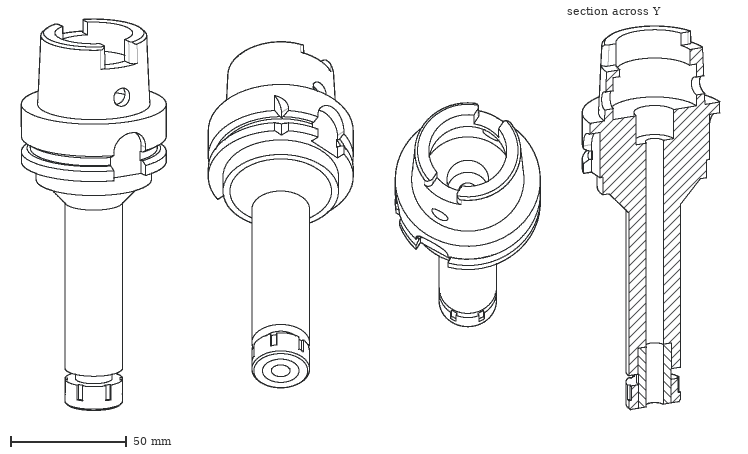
import cadquery as cq
total_height = 167.0
nut_height = 11.0
shank_bottom_z = 15.7
shank_top_z = 90.7
collar_bottom_z = 100.9
flange_bottom_z = 109.0
flange_top_z = 135.0

shank_radius = 12.5
cone_top_radius = 22.0
collar_radius = 25.0
flange_diameter = 63.0
flange_radius = flange_diameter / 2
gripper_groove_radius = 27.5
gripper_groove_bottom_z = 115.0
gripper_groove_top_z = 118.9
flange_chamfer_width = 2.5
flange_chamfer_height = 1.5
taper_base_radius = 24.4
taper_top_diameter = 46.0
taper_top_radius = taper_top_diameter / 2
lead_in_width = 1.2
lead_in_height = 1.2

clamping_bore_radius = 16.9
clamping_lip_depth = 13.0
undercut_radius = 20.0
coolant_bore_radius = 9.0
coolant_bore_depth = 13.4
passage_radius = 4.0

key_gap_width = 12.5
key_gap_shallow = 5.7
key_gap_deep = 9.7
key_corner_fillet = 2.2
cross_hole_radius = 4.0
cross_hole_z = 144.0
slot_width = 16.0
drive_slot_floor = 26.5
index_notch_floor = 20.0
index_notch_wall = 20.0
slot_arch_z = 121.7

collet_diameter = 15.9
collet_radius = collet_diameter / 2
collet_length = 27.5
nut_radius = 12.5
nut_chamfer = 0.8
wrench_slot_count = 6
wrench_slot_width = 2.7
wrench_slot_length = 6.7
wrench_slot_depth = 1.2


def cylinder(radius, bottom_z, top_z):
    """Upright cylinder on the tool axis."""
    return cq.Workplane("XY").workplane(offset=bottom_z).circle(radius).extrude(top_z - bottom_z)


def revolved(profile):
    """Turn a half profile, drawn in X and Z, around the tool axis."""
    return profile.close().revolve(360, (0, 0), (0, 1))


def holder_blank():
    """Shank, cone, collar, grooved flange and tapered head, turned in one profile."""
    flange_rim_radius = flange_radius - flange_chamfer_width
    return revolved(
        cq.Workplane("XZ")
        .moveTo(0, shank_bottom_z)
        .lineTo(shank_radius, shank_bottom_z)
        .lineTo(shank_radius, shank_top_z)
        .lineTo(cone_top_radius, collar_bottom_z)
        .lineTo(collar_radius, collar_bottom_z)
        .lineTo(collar_radius, flange_bottom_z)
        .lineTo(flange_radius, flange_bottom_z)
        .lineTo(flange_radius, gripper_groove_bottom_z - flange_chamfer_height)
        .lineTo(flange_rim_radius, gripper_groove_bottom_z)
        .lineTo(gripper_groove_radius, gripper_groove_bottom_z)
        .lineTo(gripper_groove_radius, gripper_groove_top_z)
        .lineTo(flange_rim_radius, gripper_groove_top_z)
        .lineTo(flange_radius, gripper_groove_top_z + flange_chamfer_height)
        .lineTo(flange_radius, flange_top_z)
        .lineTo(taper_base_radius, flange_top_z)
        .lineTo(taper_top_radius, total_height)
        .lineTo(0, total_height)
    )


def lead_in_ring():
    """Ring of material outside the chamfer at the top of the taper."""
    return revolved(
        cq.Workplane("XZ")
        .moveTo(taper_top_radius - lead_in_width, total_height)
        .lineTo(flange_radius, total_height)
        .lineTo(flange_radius, total_height - lead_in_height)
        .lineTo(taper_top_radius, total_height - lead_in_height)
    )


def clamping_bore():
    """Wide bore of the head, opening into an undercut below the clamping lip."""
    lip_z = total_height - clamping_lip_depth
    return revolved(
        cq.Workplane("XZ")
        .moveTo(0, flange_top_z)
        .lineTo(undercut_radius, flange_top_z)
        .lineTo(undercut_radius, lip_z)
        .lineTo(clamping_bore_radius, lip_z)
        .lineTo(clamping_bore_radius, total_height)
        .lineTo(0, total_height)
    )


def cut_key_gap(holder, side, depth):
    """Cut a gap through the rim on one side of X (side is +1 or -1) and round its outer corners."""
    floor_z = total_height - depth
    cutter = (
        cq.Workplane("XY")
        .workplane(offset=floor_z)
        .center(side * flange_radius / 2, 0)
        .rect(flange_radius, key_gap_width)
        .extrude(depth)
    )
    holder = holder.cut(cutter)
    near_x = side * (clamping_bore_radius + taper_top_radius) / 2
    far_x = side * flange_radius
    corner_box = cq.selectors.BoxSelector(
        (near_x, -key_gap_width, floor_z + depth / 4),
        (far_x, key_gap_width, total_height - depth / 4),
    )
    return holder.edges(corner_box).fillet(key_corner_fillet)


def arched_slot(floor_x, center_y):
    """Slot milled along X into the -X side of the flange, round at the top and open at the bottom."""
    half_width = slot_width / 2
    return (
        cq.Workplane("YZ")
        .workplane(offset=-floor_x)
        .moveTo(center_y - half_width, flange_bottom_z)
        .lineTo(center_y - half_width, slot_arch_z)
        .threePointArc((center_y, slot_arch_z + half_width), (center_y + half_width, slot_arch_z))
        .lineTo(center_y + half_width, flange_bottom_z)
        .close()
        .extrude(floor_x - flange_radius)
    )


def make_holder():
    """Holder with its clamping bore, coolant passage, collet socket and outside cuts."""
    holder = holder_blank().cut(clamping_bore())
    holder = cut_key_gap(holder, -1, key_gap_shallow)
    holder = cut_key_gap(holder, 1, key_gap_deep)
    holder = holder.cut(lead_in_ring())

    cross_hole = (
        cq.Workplane("YZ")
        .center(0, cross_hole_z)
        .circle(cross_hole_radius)
        .extrude(flange_radius, both=True)
    )
    holder = holder.cut(cross_hole)

    drive_slot = arched_slot(drive_slot_floor, 0)
    index_notch = arched_slot(index_notch_floor, index_notch_wall + slot_width / 2)
    holder = holder.cut(drive_slot).cut(drive_slot.mirror("YZ")).cut(index_notch)

    coolant_bore = cylinder(coolant_bore_radius, flange_top_z - coolant_bore_depth, flange_top_z)
    passage = cylinder(passage_radius, 0, flange_top_z)
    collet_socket = cylinder(collet_radius, 0, collet_length)
    return holder.cut(coolant_bore).cut(passage).cut(collet_socket)


def make_collet():
    """Plain sleeve that bridges the gap between the nut and the shank."""
    return cylinder(collet_radius, 0, collet_length).cut(cylinder(passage_radius, 0, collet_length))


def make_nut():
    """Clamping nut around the collet, with wrench slots open at its upper face."""
    nut = cylinder(nut_radius, 0, nut_height).faces("<Z").chamfer(nut_chamfer)
    nut = nut.cut(cylinder(collet_radius, 0, nut_height))
    wrench_slot = cq.Workplane("XY").box(
        nut_radius, wrench_slot_width, wrench_slot_length, centered=(False, True, False)
    ).translate((nut_radius - wrench_slot_depth, 0, nut_height - wrench_slot_length))
    for index in range(wrench_slot_count):
        angle = index * 360 / wrench_slot_count
        nut = nut.cut(wrench_slot.rotate((0, 0, 0), (0, 0, 1), angle))
    return nut


holder = make_holder()
collet = make_collet()
nut = make_nut()

result = cq.Compound.makeCompound([holder.val(), collet.val(), nut.val()])